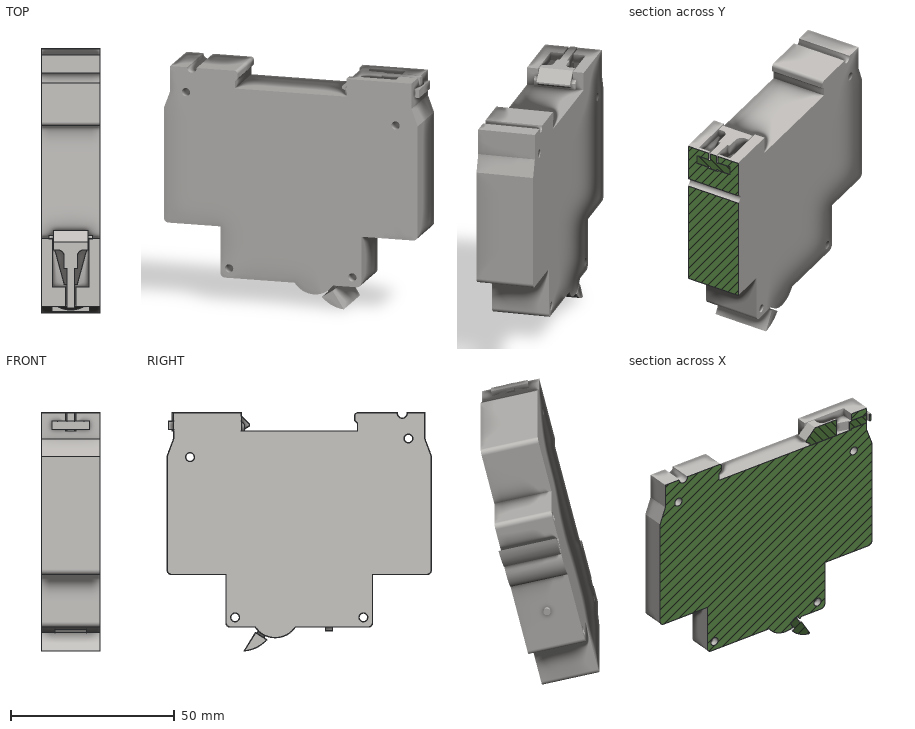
import cadquery as cq
import math


WIDTH = 18.0
HEIGHT = 73.0
HALF_LENGTH = 40.5
JAW_END_Y = 38.5
RAIL_SEAT_Z = -5.6
FIXED_JAW_Y = 17.8
CLIP_JAW_Y = -17.7
SHOULDER_TOP_Z = -8.0
SHOULDER_BOTTOM_Z = -13.35
BODY_BOTTOM_Z = -49.6
NOSE_HALF_LENGTH = 22.5
NOSE_BOTTOM_Z = -65.7
CORNER_RADIUS = 1.5

LIP_OVERHANG = 0.85
LIP_RADIUS = 1.0
LIP_FACE_BOTTOM_Z = -2.4

GROOVE_Y = 31.55
GROOVE_RADIUS = 1.5
GROOVE_DEPTH = 1.65

DOME_Y = -7.35
DOME_Z = -61.55
DOME_RADIUS = 7.4

RIVET_HOLE_DIAMETER = 2.6
RIVET_HOLES = [(33.45, -7.9), (-33.45, -13.6), (19.65, -62.7), (-19.65, -62.7)]

HEAD_HALF_WIDTH = 5.3
HEAD_BACK_Y = -21.15
HEAD_SLOPE_START_Y = -18.7
HOOK_TIP_Y = -15.2
HOOK_TIP_HEIGHT = 0.5
HOOK_HEEL_Z = -5.0
POCKET_HALF_WIDTH = 5.55
POCKET_END_Y = -32.55

PLATE_TOP_Z = -2.6
EAR_HALF_WIDTH = 6.6
EAR_FRONT_Y = -16.75
EAR_CHAMFER = 1.0
TAIL_HALF_WIDTH = 5.8
TAIL_END_Y = -40.05
TAIL_BOTTOM_Z = -5.2

NECK_HALF_WIDTH = 2.0
NECK_END_Y = -26.9
BAR_HALF_WIDTH = 1.15
BAR_END_Y = -39.0
BAR_SLOT_HALF_WIDTH = 1.6

WINDOW_ARC_RADIUS = 2.05
WINDOW_OUTER_X = 4.75
WINDOW_SHOULDER_Y = -21.6
WINDOW_END_Y = -31.7

TOOL_NOTCH_END_Y = -39.55
TOOL_NOTCH_HALF_WIDTH = 4.0

LEVER_RADIUS = 8.15
LEVER_ANGLE = 32.0
LEVER_INNER_HALF_WIDTH = 2.05
LEVER_BULGE = 0.75
STEM_INNER_SIDE = -0.95
STEM_OUTER_SIDE = 1.6
STEM_HALF_WIDTH = 4.9
STEM_SLOT_CLEARANCE = 0.5
STEM_INSERTION = 2.0

BUTTON_Y = 9.1
BUTTON_DIAMETER = 2.2
BUTTON_LENGTH = 1.15


def side_profile_solid(profile, half_width):
    """Extrude a closed profile drawn in Y and Z symmetrically about X = 0."""
    return profile.extrude(half_width, both=True)


def box(half_width, y_min, y_max, z_min, z_max):
    """Box centred on X = 0 between the given Y and Z limits."""
    blank = cq.Workplane("XY").box(
        2 * half_width, y_max - y_min, z_max - z_min, centered=(True, False, False)
    )
    return blank.translate((0, y_min, z_min))


def pivot_point(radial, sideways):
    """Y and Z of a point measured along and across the lever from its pivot."""
    angle = math.radians(LEVER_ANGLE)
    y = DOME_Y - radial * math.sin(angle) - sideways * math.cos(angle)
    z = DOME_Z - radial * math.cos(angle) + sideways * math.sin(angle)
    return y, z


def make_dome():
    return side_profile_solid(
        cq.Workplane("YZ").center(DOME_Y, DOME_Z).circle(DOME_RADIUS), WIDTH / 2
    )


def make_housing_block():
    """Full-width block with the rail recess on top and the lever nose below."""
    lip_y = FIXED_JAW_Y - LIP_OVERHANG
    lip_inset = LIP_RADIUS * (1 - math.sqrt(0.5))
    outline = (
        cq.Workplane("YZ")
        .moveTo(JAW_END_Y, 0)
        .lineTo(GROOVE_Y + GROOVE_RADIUS, 0)
        .lineTo(GROOVE_Y + GROOVE_RADIUS, GROOVE_RADIUS - GROOVE_DEPTH)
        .threePointArc(
            (GROOVE_Y, -GROOVE_DEPTH), (GROOVE_Y - GROOVE_RADIUS, GROOVE_RADIUS - GROOVE_DEPTH)
        )
        .lineTo(GROOVE_Y - GROOVE_RADIUS, 0)
        .lineTo(lip_y + LIP_RADIUS, 0)
        .threePointArc((lip_y + lip_inset, -lip_inset), (lip_y, -LIP_RADIUS))
        .lineTo(lip_y, LIP_FACE_BOTTOM_Z)
        .lineTo(FIXED_JAW_Y, LIP_FACE_BOTTOM_Z - LIP_OVERHANG)
        .lineTo(FIXED_JAW_Y, RAIL_SEAT_Z)
        .lineTo(CLIP_JAW_Y, RAIL_SEAT_Z)
        .lineTo(CLIP_JAW_Y, 0)
        .lineTo(-JAW_END_Y, 0)
        .lineTo(-JAW_END_Y, SHOULDER_TOP_Z)
        .lineTo(-HALF_LENGTH, SHOULDER_BOTTOM_Z)
        .lineTo(-HALF_LENGTH, BODY_BOTTOM_Z)
        .lineTo(-NOSE_HALF_LENGTH, BODY_BOTTOM_Z)
        .lineTo(-NOSE_HALF_LENGTH, NOSE_BOTTOM_Z)
        .lineTo(NOSE_HALF_LENGTH, NOSE_BOTTOM_Z)
        .lineTo(NOSE_HALF_LENGTH, BODY_BOTTOM_Z)
        .lineTo(HALF_LENGTH, BODY_BOTTOM_Z)
        .lineTo(HALF_LENGTH, SHOULDER_BOTTOM_Z)
        .lineTo(JAW_END_Y, SHOULDER_TOP_Z)
        .close()
    )
    block = side_profile_solid(outline, WIDTH / 2)
    block = block.faces("<Z").edges("|X").fillet(CORNER_RADIUS)
    return block.faces("<Y or >Y").edges("<Z").fillet(CORNER_RADIUS)


def make_clip_guide():
    """Space in the clip jaw: an open pocket, a slot for the bar and side grooves for the plate."""
    pocket = box(POCKET_HALF_WIDTH, POCKET_END_Y, CLIP_JAW_Y, RAIL_SEAT_Z, 0)
    bar_slot = box(BAR_SLOT_HALF_WIDTH, -JAW_END_Y, CLIP_JAW_Y, RAIL_SEAT_Z, 0)
    ear_groove = box(EAR_HALF_WIDTH, POCKET_END_Y, CLIP_JAW_Y, RAIL_SEAT_Z, PLATE_TOP_Z)
    tail_slot = box(TAIL_HALF_WIDTH, -JAW_END_Y, CLIP_JAW_Y, TAIL_BOTTOM_Z, PLATE_TOP_Z)
    return pocket.union(bar_slot).union(ear_groove).union(tail_slot)


def make_housing():
    rivet_holes = side_profile_solid(
        cq.Workplane("YZ").pushPoints(RIVET_HOLES).circle(RIVET_HOLE_DIAMETER / 2), WIDTH
    )
    block = make_housing_block().union(make_dome())
    return block.cut(rivet_holes).cut(make_clip_guide()).cut(make_stem(STEM_SLOT_CLEARANCE))


def make_clip_head():
    """Hook that grips the rail, with a 45 degree lead-in above the tip."""
    tip_top_z = HEAD_SLOPE_START_Y - HOOK_TIP_Y
    profile = (
        cq.Workplane("YZ")
        .moveTo(HEAD_BACK_Y, 0)
        .lineTo(HEAD_SLOPE_START_Y, 0)
        .lineTo(HOOK_TIP_Y, tip_top_z)
        .lineTo(HOOK_TIP_Y, tip_top_z - HOOK_TIP_HEIGHT)
        .lineTo(EAR_FRONT_Y, HOOK_HEEL_Z)
        .lineTo(EAR_FRONT_Y, RAIL_SEAT_Z)
        .lineTo(HEAD_BACK_Y, RAIL_SEAT_Z)
        .close()
    )
    return side_profile_solid(profile, HEAD_HALF_WIDTH)


def make_clip_neck():
    """Neck behind the head, blending into the head with a concave arc on each side."""
    arc_start_x = NECK_HALF_WIDTH + WINDOW_ARC_RADIUS
    arc_end_y = HEAD_BACK_Y - WINDOW_ARC_RADIUS
    arc_mid = WINDOW_ARC_RADIUS * math.sqrt(0.5)
    outline = (
        cq.Workplane("XY")
        .moveTo(-arc_start_x, HEAD_BACK_Y)
        .lineTo(arc_start_x, HEAD_BACK_Y)
        .threePointArc((arc_start_x - arc_mid, arc_end_y + arc_mid), (NECK_HALF_WIDTH, arc_end_y))
        .lineTo(NECK_HALF_WIDTH, NECK_END_Y)
        .lineTo(-NECK_HALF_WIDTH, NECK_END_Y)
        .lineTo(-NECK_HALF_WIDTH, arc_end_y)
        .threePointArc((-arc_start_x + arc_mid, arc_end_y + arc_mid), (-arc_start_x, HEAD_BACK_Y))
        .close()
    )
    return outline.extrude(RAIL_SEAT_Z)


def make_clip_plate():
    """Lower plate: ears beside the head, a tail through the end face and two spring windows."""
    ears = box(EAR_HALF_WIDTH, POCKET_END_Y, EAR_FRONT_Y, RAIL_SEAT_Z, PLATE_TOP_Z)
    ears = ears.faces(">Y").edges(">Z").chamfer(EAR_CHAMFER)
    tail = box(TAIL_HALF_WIDTH, TAIL_END_Y, POCKET_END_Y, TAIL_BOTTOM_Z, PLATE_TOP_Z)
    plate = ears.union(tail)
    windows = (
        cq.Workplane("XY", origin=(0, 0, RAIL_SEAT_Z))
        .moveTo(-WINDOW_OUTER_X, HEAD_BACK_Y)
        .lineTo(WINDOW_OUTER_X, HEAD_BACK_Y)
        .lineTo(WINDOW_OUTER_X, WINDOW_SHOULDER_Y)
        .lineTo(NECK_HALF_WIDTH, WINDOW_END_Y)
        .lineTo(-NECK_HALF_WIDTH, WINDOW_END_Y)
        .lineTo(-WINDOW_OUTER_X, WINDOW_SHOULDER_Y)
        .close()
        .extrude(PLATE_TOP_Z - RAIL_SEAT_Z)
    )
    tool_notch = (
        cq.Workplane("XY", origin=(0, 0, RAIL_SEAT_Z))
        .moveTo(-TOOL_NOTCH_HALF_WIDTH, -JAW_END_Y)
        .threePointArc((0, TOOL_NOTCH_END_Y), (TOOL_NOTCH_HALF_WIDTH, -JAW_END_Y))
        .close()
        .extrude(PLATE_TOP_Z - RAIL_SEAT_Z)
    )
    return plate.cut(windows).cut(tool_notch)


def make_clip():
    bar = box(BAR_HALF_WIDTH, BAR_END_Y, HEAD_BACK_Y, RAIL_SEAT_Z, 0)
    return make_clip_plate().union(make_clip_head()).union(make_clip_neck()).union(bar)


def make_stem(clearance=0):
    """Stem of the lever; with clearance added to its outer flank it shapes the slot in the dome."""
    outer_side = STEM_OUTER_SIDE + clearance
    inner_end = DOME_RADIUS - STEM_INSERTION
    profile = (
        cq.Workplane("YZ")
        .moveTo(*pivot_point(inner_end, STEM_INNER_SIDE))
        .lineTo(*pivot_point(inner_end, outer_side))
        .lineTo(*pivot_point(LEVER_RADIUS, outer_side))
        .lineTo(*pivot_point(LEVER_RADIUS, STEM_INNER_SIDE))
        .close()
    )
    return side_profile_solid(profile, STEM_HALF_WIDTH)


def make_lever():
    """Wedge-shaped grip on a short stem that plugs into the dome."""
    inner_near = pivot_point(LEVER_RADIUS, -LEVER_INNER_HALF_WIDTH)
    inner_far = pivot_point(LEVER_RADIUS, LEVER_INNER_HALF_WIDTH)
    tip_distance = (HEIGHT + inner_far[1]) / math.cos(math.radians(LEVER_ANGLE))
    tip = pivot_point(LEVER_RADIUS + tip_distance, LEVER_INNER_HALF_WIDTH)
    chord_y = tip[0] - inner_near[0]
    chord_z = tip[1] - inner_near[1]
    chord = math.hypot(chord_y, chord_z)
    bulge_point = (
        (inner_near[0] + tip[0]) / 2 - LEVER_BULGE * chord_z / chord,
        (inner_near[1] + tip[1]) / 2 + LEVER_BULGE * chord_y / chord,
    )
    grip = side_profile_solid(
        cq.Workplane("YZ")
        .moveTo(*inner_far)
        .lineTo(*inner_near)
        .threePointArc(bulge_point, tip)
        .close(),
        WIDTH / 2,
    )
    return grip.union(make_stem())


def make_button():
    return (
        cq.Workplane("XY", origin=(0, BUTTON_Y, NOSE_BOTTOM_Z))
        .circle(BUTTON_DIAMETER / 2)
        .extrude(-BUTTON_LENGTH)
    )


housing = make_housing()
clip = make_clip()
lever = make_lever()
button = make_button()

result = cq.Compound.makeCompound([housing.val(), clip.val(), lever.val(), button.val()])